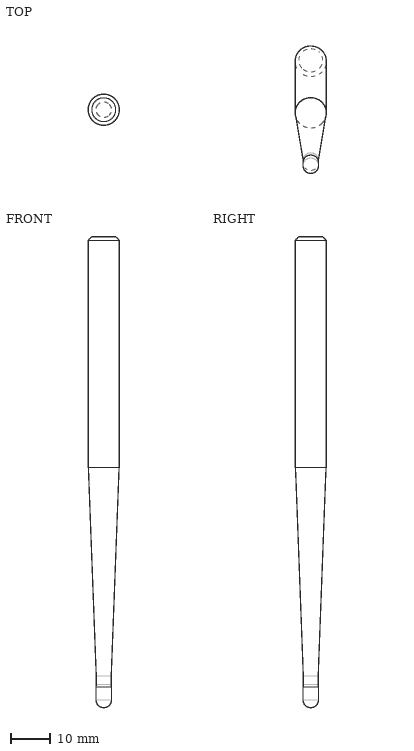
import cadquery as cq

total_length = 120.0
shank_diameter = total_length / 15
shank_radius = shank_diameter / 2
shank_bottom = 61.2
shank_chamfer = 1.0

tip_radius = shank_radius / 2
tip_top = 5.3

radial_relief = 0.06
neck_radius = tip_radius - radial_relief
neck_bottom = 6.0
neck_top = 8.2
taper_top_radius = shank_radius - radial_relief


def revolve_profile(profile):
    """Turn a closed half-profile, drawn in XZ, about the Z axis."""
    return profile.close().revolve(360, (0, 0, 0), (0, 1, 0))


def make_tip():
    """Cylindrical cutting head with a hemispherical end."""
    profile = (
        cq.Workplane("XZ")
        .moveTo(0, 0)
        .radiusArc((tip_radius, tip_radius), -tip_radius)
        .lineTo(tip_radius, tip_top)
        .lineTo(0, tip_top)
    )
    return revolve_profile(profile)


def make_holder():
    """Neck, taper and chamfered shank, seated on the flat top of the tip."""
    profile = (
        cq.Workplane("XZ")
        .moveTo(0, tip_top)
        .lineTo(tip_radius, tip_top)
        .lineTo(neck_radius, neck_bottom)
        .lineTo(neck_radius, neck_top)
        .lineTo(taper_top_radius, shank_bottom)
        .lineTo(shank_radius, shank_bottom)
        .lineTo(shank_radius, total_length - shank_chamfer)
        .lineTo(shank_radius - shank_chamfer, total_length)
        .lineTo(0, total_length)
    )
    return revolve_profile(profile)


tip = make_tip()
holder = make_holder()
result = cq.Compound.makeCompound([tip.val(), holder.val()])